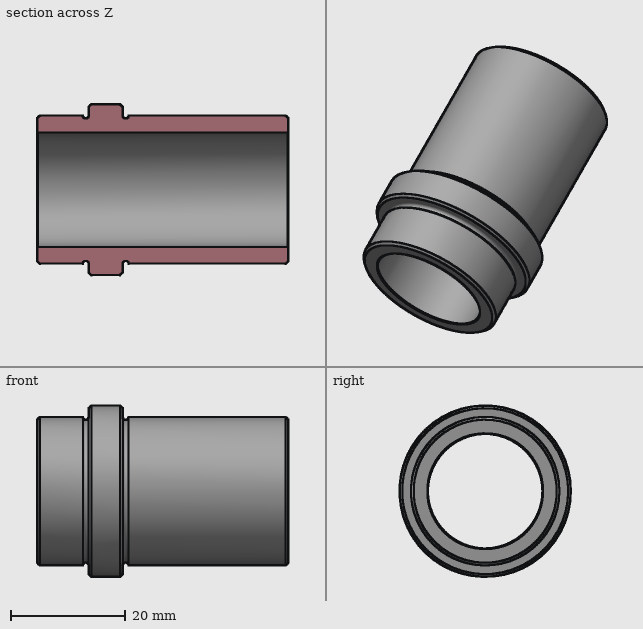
import cadquery as cq

length = 44.0
body_diameter = 26.0
collar_diameter = 30.0
bore_diameter = 20.0
collar_start = 9.0
collar_end = 15.0
edge_chamfer = 0.5
bore_chamfer = 0.15
groove_width = 1.0
groove_depth = groove_width / 2

body_radius = body_diameter / 2
collar_radius = collar_diameter / 2
bore_radius = bore_diameter / 2


def add_groove(profile, start):
    """Extend the profile along a half-round relief groove."""
    return (
        profile.lineTo(start, body_radius)
        .threePointArc(
            (start + groove_width / 2, body_radius - groove_depth),
            (start + groove_width, body_radius),
        )
    )


profile = (
    cq.Workplane("XY")
    .moveTo(bore_chamfer, bore_radius)
    .lineTo(0, bore_radius + bore_chamfer)
    .lineTo(0, body_radius - edge_chamfer)
    .lineTo(edge_chamfer, body_radius)
)
profile = add_groove(profile, collar_start - groove_width)

profile = (
    profile.lineTo(collar_start, collar_radius - edge_chamfer)
    .lineTo(collar_start + edge_chamfer, collar_radius)
    .lineTo(collar_end - edge_chamfer, collar_radius)
    .lineTo(collar_end, collar_radius - edge_chamfer)
)
profile = add_groove(profile, collar_end)

profile = (
    profile.lineTo(length - edge_chamfer, body_radius)
    .lineTo(length, body_radius - edge_chamfer)
    .lineTo(length, bore_radius + bore_chamfer)
    .lineTo(length - bore_chamfer, bore_radius)
    .close()
)

result = profile.revolve(360, (0, 0, 0), (1, 0, 0))